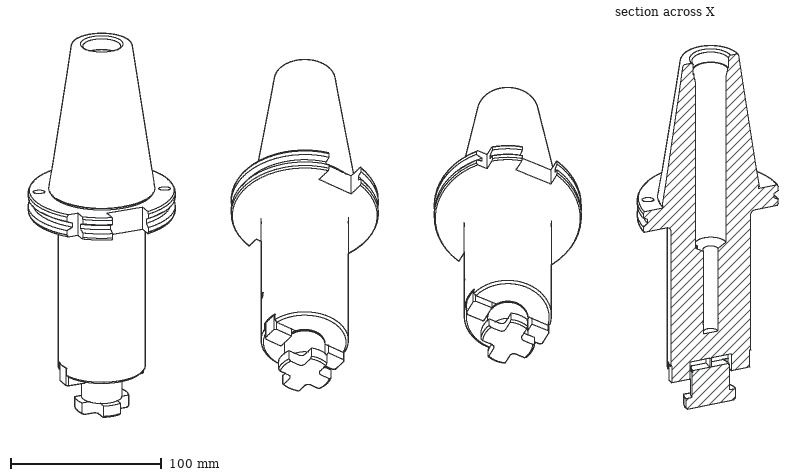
import cadquery as cq
import math


TOTAL_LENGTH = 260.8
TAPER_LENGTH = 101.7
GAUGE_RADIUS = 35.0
TAPER_SLOPE = 7 / 48
TAPER_END_RADIUS = GAUGE_RADIUS - TAPER_LENGTH * TAPER_SLOPE
TAPER_END_FILLET = 2.0

FLANGE_RADIUS = 48.8
FLANGE_TOP = -3.0
FLANGE_HEIGHT = 16.0
FLANGE_BOTTOM = FLANGE_TOP - FLANGE_HEIGHT
FLANGE_EDGE_WIDTH = 0.8
FLANGE_EDGE_HEIGHT = 1.5
GROOVE_RADIUS = 45.6
GROOVE_CENTER = FLANGE_TOP - FLANGE_HEIGHT / 2
GROOVE_OPENING = 6.5
GROOVE_FLANK_ANGLE = 30.0
GROOVE_FLOOR = (
    GROOVE_OPENING
    - 2 * (FLANGE_RADIUS - GROOVE_RADIUS) * math.tan(math.radians(GROOVE_FLANK_ANGLE))
)

NECK_RADIUS = 34.5
NECK_HEIGHT = 1.3
NECK_TOP = FLANGE_TOP + NECK_HEIGHT
TAPER_BASE_RADIUS = GAUGE_RADIUS - NECK_TOP * TAPER_SLOPE

SLOT_WIDTH = 25.8
SLOT_FLOOR_LEFT = 35.5
SLOT_FLOOR_RIGHT = 37.8
NOTCH_X = 30.0
NOTCH_Y = -30.5

BODY_RADIUS = 29.0
BODY_BOTTOM = -130.5
BODY_FILLET = 2.9
BODY_CHAMFER = 1.5
PILOT_RADIUS = 13.5
PILOT_BOTTOM = -150.5
RELIEF_RADIUS = 13.0
RELIEF_HEIGHT = 1.3

KEY_WIDTH = 12.3
KEY_OUTER = 28.2
KEY_INNER = 14.9
KEY_SEAT_HEIGHT = 6.5
KEY_PROJECTION = 6.3
KEY_TOP = BODY_BOTTOM + KEY_SEAT_HEIGHT
KEY_BOTTOM = BODY_BOTTOM - KEY_PROJECTION
KEY_CHAMFER = 1.3

HEAD_BOTTOM = TAPER_LENGTH - TOTAL_LENGTH
HEAD_HEIGHT = PILOT_BOTTOM - HEAD_BOTTOM
HEAD_RADIUS = 18.0
HEAD_CHAMFER = 1.3
ARM_WIDTH = 12.3
ARM_FILLET = 2.9

MOUTH_RADIUS = 14.0
MOUTH_DEPTH = 1.5
COUNTERBORE_RADIUS = 12.5
COUNTERBORE_DEPTH = 9.0
SEAT_RADIUS = 12.0
SEAT_HEIGHT = 1.5
SEAT_BOTTOM = TAPER_LENGTH - COUNTERBORE_DEPTH - SEAT_HEIGHT
THREAD_LEAD_HEIGHT = 4.2
BORE_RADIUS = 11.0
BORE_BOTTOM = -38.5
CHANNEL_RADIUS = 5.2
CHANNEL_BOTTOM = -104.3
DRILL_HALF_ANGLE = 59.0
DRILL_SLOPE = 1 / math.tan(math.radians(DRILL_HALF_ANGLE))
BORE_CONE_HEIGHT = (BORE_RADIUS - CHANNEL_RADIUS) * DRILL_SLOPE

COOLANT_ANGLE = -20.0
PORT_CENTER_RADIUS = 41.7
PORT_RADIUS = 2.9
PORT_DEPTH = 4.2
PORT_OVERSHOOT = 2 * PORT_RADIUS
PASSAGE_RADIUS = 1.5
PASSAGE_END_RADIUS = 8.9
PASSAGE_END_Z = BORE_BOTTOM - (BORE_RADIUS - PASSAGE_END_RADIUS) * DRILL_SLOPE
GROOVE_HOLE_RADIUS = 1.5
GROOVE_HOLE_DEPTH = 4.0
BODY_HOLE_RADIUS = 1.8
BODY_HOLE_Z = -95.2


def turned_blank():
    """Taper, flange, body and pilot as one turned solid."""
    fillet_mid = BODY_FILLET * (1 - math.sqrt(0.5))
    profile = (
        cq.Workplane("XZ")
        .moveTo(0, PILOT_BOTTOM)
        .lineTo(PILOT_RADIUS, PILOT_BOTTOM)
        .lineTo(PILOT_RADIUS, BODY_BOTTOM - RELIEF_HEIGHT)
        .lineTo(RELIEF_RADIUS, BODY_BOTTOM - RELIEF_HEIGHT)
        .lineTo(RELIEF_RADIUS, BODY_BOTTOM)
        .lineTo(BODY_RADIUS - BODY_CHAMFER, BODY_BOTTOM)
        .lineTo(BODY_RADIUS, BODY_BOTTOM + BODY_CHAMFER)
        .lineTo(BODY_RADIUS, FLANGE_BOTTOM - BODY_FILLET)
        .threePointArc(
            (BODY_RADIUS + fillet_mid, FLANGE_BOTTOM - fillet_mid),
            (BODY_RADIUS + BODY_FILLET, FLANGE_BOTTOM),
        )
        .lineTo(FLANGE_RADIUS - FLANGE_EDGE_WIDTH, FLANGE_BOTTOM)
        .lineTo(FLANGE_RADIUS, FLANGE_BOTTOM + FLANGE_EDGE_HEIGHT)
        .lineTo(FLANGE_RADIUS, GROOVE_CENTER - GROOVE_OPENING / 2)
        .lineTo(GROOVE_RADIUS, GROOVE_CENTER - GROOVE_FLOOR / 2)
        .lineTo(GROOVE_RADIUS, GROOVE_CENTER + GROOVE_FLOOR / 2)
        .lineTo(FLANGE_RADIUS, GROOVE_CENTER + GROOVE_OPENING / 2)
        .lineTo(FLANGE_RADIUS, FLANGE_TOP - FLANGE_EDGE_HEIGHT)
        .lineTo(FLANGE_RADIUS - FLANGE_EDGE_WIDTH, FLANGE_TOP)
        .lineTo(NECK_RADIUS, FLANGE_TOP)
        .lineTo(NECK_RADIUS, NECK_TOP)
        .lineTo(TAPER_BASE_RADIUS, NECK_TOP)
        .lineTo(TAPER_END_RADIUS, TAPER_LENGTH)
        .lineTo(0, TAPER_LENGTH)
        .close()
    )
    blank = profile.revolve(360, (0, 0, 0), (0, 1, 0))
    return blank.faces(">Z").edges().fillet(TAPER_END_FILLET)


def bore():
    """Stepped bore with a drill-point transition to the coolant channel."""
    return (
        cq.Workplane("XZ")
        .moveTo(0, TAPER_LENGTH)
        .lineTo(MOUTH_RADIUS, TAPER_LENGTH)
        .lineTo(COUNTERBORE_RADIUS, TAPER_LENGTH - MOUTH_DEPTH)
        .lineTo(COUNTERBORE_RADIUS, TAPER_LENGTH - COUNTERBORE_DEPTH)
        .lineTo(SEAT_RADIUS, TAPER_LENGTH - COUNTERBORE_DEPTH)
        .lineTo(SEAT_RADIUS, SEAT_BOTTOM)
        .lineTo(BORE_RADIUS, SEAT_BOTTOM - THREAD_LEAD_HEIGHT)
        .lineTo(BORE_RADIUS, BORE_BOTTOM)
        .lineTo(CHANNEL_RADIUS, BORE_BOTTOM - BORE_CONE_HEIGHT)
        .lineTo(CHANNEL_RADIUS, CHANNEL_BOTTOM)
        .lineTo(0, CHANNEL_BOTTOM)
        .close()
        .revolve(360, (0, 0, 0), (0, 1, 0))
    )


def flange_box(x_min, x_max, y_min, y_max):
    """Rectangular cutter as tall as the flange."""
    return cq.Workplane("XY", origin=(x_min, y_min, FLANGE_BOTTOM)).box(
        x_max - x_min, y_max - y_min, FLANGE_HEIGHT, centered=False
    )


def key():
    """Drive key on the +Y side, with its outer upright edges chamfered."""
    return (
        cq.Workplane("XY", origin=(0, (KEY_OUTER + KEY_INNER) / 2, KEY_BOTTOM))
        .rect(KEY_WIDTH, KEY_OUTER - KEY_INNER)
        .extrude(KEY_TOP - KEY_BOTTOM)
        .edges("|Z and >Y")
        .chamfer(KEY_CHAMFER)
    )


def key_seat():
    """Opening that bares the outer face of the +Y key in the body wall."""
    return (
        cq.Workplane("XY", origin=(0, KEY_INNER, BODY_BOTTOM))
        .rect(KEY_WIDTH, 2 * (BODY_RADIUS - KEY_INNER))
        .extrude(KEY_SEAT_HEIGHT)
    )


def screw_head():
    """Four-armed screw head, trimmed to a chamfered disc."""
    span = 2 * HEAD_RADIUS + ARM_WIDTH
    base = cq.Workplane("XY", origin=(0, 0, HEAD_BOTTOM))
    cross = base.rect(span, ARM_WIDTH).extrude(HEAD_HEIGHT)
    cross = cross.union(base.rect(ARM_WIDTH, span).extrude(HEAD_HEIGHT))
    inner_corners = cq.selectors.BoxSelector(
        (-ARM_WIDTH, -ARM_WIDTH, HEAD_BOTTOM), (ARM_WIDTH, ARM_WIDTH, PILOT_BOTTOM)
    )
    cross = cross.edges("|Z").edges(inner_corners).fillet(ARM_FILLET)
    disc = base.circle(HEAD_RADIUS).extrude(HEAD_HEIGHT).faces("<Z").chamfer(HEAD_CHAMFER)
    return cross.intersect(disc)


def drilled_hole(radius, start, direction, depth):
    """Cylindrical cutter from a start point along a direction."""
    return cq.Workplane(cq.Solid.makeCylinder(radius, depth, start, direction))


def slanted_port():
    """Wide port in the flange top, continued by a narrow passage to the end of the bore."""
    mouth = cq.Vector(0, PORT_CENTER_RADIUS, FLANGE_TOP)
    passage_end = cq.Vector(0, PASSAGE_END_RADIUS, PASSAGE_END_Z)
    passage = passage_end - mouth
    direction = passage.normalized()
    start = mouth - direction * PORT_OVERSHOOT
    port = drilled_hole(PORT_RADIUS, start, direction, PORT_OVERSHOOT + PORT_DEPTH)
    return port.union(drilled_hole(PASSAGE_RADIUS, mouth, direction, passage.Length))


def radial_hole(radius, z, depth):
    """Hole toward the axis, starting at the flange radius on the +Y side."""
    start = cq.Vector(0, FLANGE_RADIUS, z)
    return drilled_hole(radius, start, cq.Vector(0, -1, 0), depth)


def coolant_holes():
    """Slanted port, groove hole and body hole in one half of the coolant plane."""
    groove_hole_reach = FLANGE_RADIUS - GROOVE_RADIUS + GROOVE_HOLE_DEPTH
    holes = (
        slanted_port()
        .union(radial_hole(GROOVE_HOLE_RADIUS, GROOVE_CENTER, groove_hole_reach))
        .union(radial_hole(BODY_HOLE_RADIUS, BODY_HOLE_Z, FLANGE_RADIUS))
    )
    return holes.rotate((0, 0, 0), (0, 0, 1), COOLANT_ANGLE)


def with_opposite(shape):
    """A shape together with its copy half a turn around the axis."""
    return shape.union(shape.rotate((0, 0, 0), (0, 0, 1), 180))


result = turned_blank()

half_slot = SLOT_WIDTH / 2
result = result.cut(flange_box(-FLANGE_RADIUS, -SLOT_FLOOR_LEFT, -half_slot, half_slot))
result = result.cut(flange_box(SLOT_FLOOR_RIGHT, FLANGE_RADIUS, -half_slot, half_slot))
result = result.cut(flange_box(NOTCH_X, FLANGE_RADIUS, -FLANGE_RADIUS, NOTCH_Y))

result = result.cut(with_opposite(key_seat())).union(with_opposite(key()))
result = result.union(screw_head())

result = result.cut(bore())
result = result.cut(with_opposite(coolant_holes()))